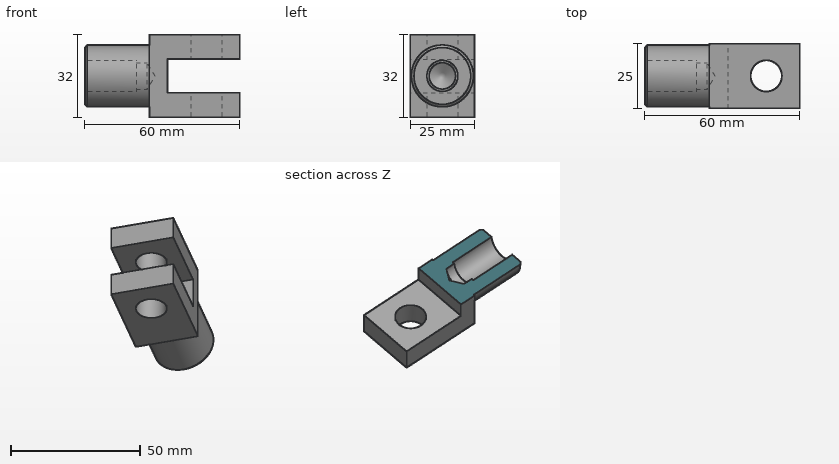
import cadquery as cq
import math

length = 60.0
block_width = 25.0
block_height = 32.0
shank_length = 25.0
block_length = length - shank_length

shank_diameter = 24.0
shank_chamfer = 1.0

slot_height = 12.95
slot_depth = 27.95
pin_diameter = 12.0
pin_from_fork_end = 13.0

bore_diameter = 12.0
bore_depth = 20.0
pilot_diameter = 10.2
pilot_depth = 24.0
drill_point_angle = 118.0


def make_shank():
    shank = cq.Workplane("YZ").circle(shank_diameter / 2).extrude(shank_length)
    return shank.faces("<X").chamfer(shank_chamfer)


def make_block():
    return cq.Workplane("XY").box(
        block_length, block_width, block_height, centered=(False, True, True)
    ).translate((shank_length, 0, 0))


def make_slot():
    return cq.Workplane("XY").box(
        slot_depth, block_width, slot_height, centered=(False, True, True)
    ).translate((length - slot_depth, 0, 0))


def make_pin_hole():
    return (
        cq.Workplane("XY", origin=(length - pin_from_fork_end, 0, -block_height / 2))
        .circle(pin_diameter / 2)
        .extrude(block_height)
    )


def make_bore():
    bore_radius = bore_diameter / 2
    pilot_radius = pilot_diameter / 2
    point_length = pilot_radius / math.tan(math.radians(drill_point_angle / 2))
    return (
        cq.Workplane("XY")
        .polyline([
            (0, 0),
            (0, bore_radius),
            (bore_depth, bore_radius),
            (bore_depth, pilot_radius),
            (pilot_depth, pilot_radius),
            (pilot_depth + point_length, 0),
        ])
        .close()
        .revolve(360, (0, 0, 0), (1, 0, 0))
    )


body = make_shank().union(make_block())
result = body.cut(make_slot()).cut(make_pin_hole()).cut(make_bore())